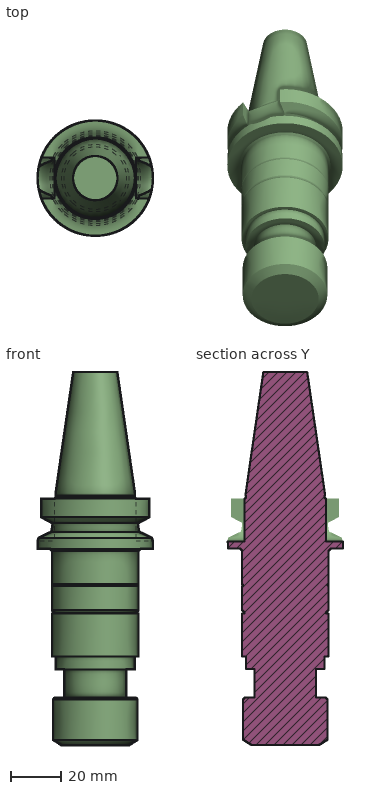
import cadquery as cq
import math


gauge_diameter = 31.75
taper_ratio = 7 / 24
taper_top_z = 48.4
taper_top_diameter = gauge_diameter - taper_ratio * taper_top_z

relief_diameter = 31.3
relief_top_z = -0.8
relief_root_chamfer = 0.6

flange_diameter = 45.98
flange_top_z = -2.0
flange_bottom_z = -22.0
v_groove_root_diameter = 37.7
v_groove_middle_z = -13.5
v_groove_root_width = 3.4
v_groove_flank_angle = 30

drive_slot_width = 16.3
drive_slot_floor_spacing = 32.5
drive_slot_bottom_z = -18.9

body_diameter = 34.6
body_bottom_z = -64.9
body_root_chamfer = 0.8
upper_ring_groove_diameter = 33.7
upper_ring_groove_z = -36.4
upper_ring_groove_depth = (body_diameter - upper_ring_groove_diameter) / 2
lower_ring_groove_top_z = -46.4
lower_ring_groove_bottom_z = -47.7
lower_ring_groove_diameter = 32.5

collar_diameter = 31.5
collar_bottom_z = -70.0
neck_diameter = 24.87

nut_diameter = 33.7
nut_top_z = -81.1
nut_bottom_z = -100.2
nut_top_chamfer = 0.8
nut_bottom_chamfer_height = 2.2
nut_nose_diameter = 26.8


def turned_body():
    """Revolve the half profile, listed from the taper top down to the nut nose."""
    v_groove_depth = (flange_diameter - v_groove_root_diameter) / 2
    flank_height = v_groove_depth * math.tan(math.radians(v_groove_flank_angle))
    root_top_z = v_groove_middle_z + v_groove_root_width / 2
    root_bottom_z = v_groove_middle_z - v_groove_root_width / 2
    relief_cone = (gauge_diameter - relief_diameter) / 2
    lower_ring_groove_depth = (body_diameter - lower_ring_groove_diameter) / 2

    diameter_and_height = [
        (0, taper_top_z),
        (taper_top_diameter, taper_top_z),
        (gauge_diameter, 0),
        (gauge_diameter, relief_top_z),
        (relief_diameter, relief_top_z - relief_cone),
        (relief_diameter, flange_top_z + relief_root_chamfer),
        (relief_diameter + 2 * relief_root_chamfer, flange_top_z),
        (flange_diameter, flange_top_z),
        (flange_diameter, root_top_z + flank_height),
        (v_groove_root_diameter, root_top_z),
        (v_groove_root_diameter, root_bottom_z),
        (flange_diameter, root_bottom_z - flank_height),
        (flange_diameter, flange_bottom_z),
        (body_diameter + 2 * body_root_chamfer, flange_bottom_z),
        (body_diameter, flange_bottom_z - body_root_chamfer),
        (body_diameter, upper_ring_groove_z + upper_ring_groove_depth),
        (upper_ring_groove_diameter, upper_ring_groove_z),
        (body_diameter, upper_ring_groove_z - upper_ring_groove_depth),
        (body_diameter, lower_ring_groove_top_z),
        (lower_ring_groove_diameter, lower_ring_groove_top_z - lower_ring_groove_depth),
        (lower_ring_groove_diameter, lower_ring_groove_bottom_z),
        (body_diameter, lower_ring_groove_bottom_z),
        (body_diameter, body_bottom_z),
        (collar_diameter, body_bottom_z),
        (collar_diameter, collar_bottom_z),
        (neck_diameter, collar_bottom_z),
        (neck_diameter, nut_top_z),
        (nut_diameter - 2 * nut_top_chamfer, nut_top_z),
        (nut_diameter, nut_top_z - nut_top_chamfer),
        (nut_diameter, nut_bottom_z + nut_bottom_chamfer_height),
        (nut_nose_diameter, nut_bottom_z),
        (0, nut_bottom_z),
    ]
    half_profile = [(diameter / 2, height) for diameter, height in diameter_and_height]
    return cq.Workplane("XZ").polyline(half_profile).close().revolve(360, (0, 0), (0, 1))


def drive_slot(side):
    """Cutter for the drive slot on the +X (side = 1) or -X (side = -1) side."""
    half_width = drive_slot_width / 2
    arc_centre_z = drive_slot_bottom_z + half_width
    return (
        cq.Workplane("YZ", origin=(side * drive_slot_floor_spacing / 2, 0, 0))
        .moveTo(-half_width, flange_top_z)
        .lineTo(-half_width, arc_centre_z)
        .threePointArc((0, drive_slot_bottom_z), (half_width, arc_centre_z))
        .lineTo(half_width, flange_top_z)
        .close()
        .extrude(side * flange_diameter / 2)
    )


result = turned_body()
for slot_side in (1, -1):
    result = result.cut(drive_slot(slot_side))